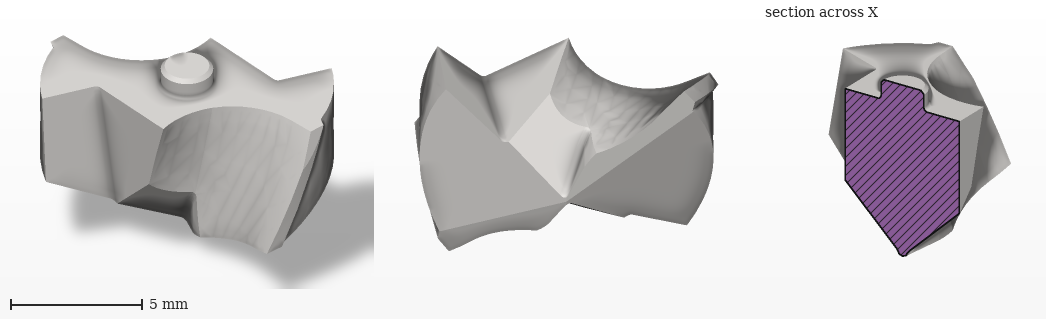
import cadquery as cq
import math

MARGIN_RADIUS = 5.85
LAND_RADIUS = 5.59
HELIX_ANGLE = 30.0
POINT_DEPTH = 6.35
BODY_DEPTH = 7.0

FLUTE_MOUTH = (2.08, -3.62)
FLUTE_HEEL = (1.49, -1.5)
FLUTE_SEAM = (1.82, -0.33)
FLUTE_BEND = (2.39, 0.435)
FLUTE_LIP = (4.5, 1.365)
LIP_ANGLE = 14.3
MARGIN_END_ANGLE = 20.8
LAND_START_ANGLE = 23.6
LAND_END_ANGLE = 85.0

FLAT_OFFSET = 2.64
TRAILING_CORNER_X = -2.15
TRAILING_SLOPE = (0.37, 1.0)
TRAILING_DRIFT = 0.185
TRAILING_FILLET = 0.2

BEVEL_X = 5.46
BEVEL_SLOPE = 0.27

PRIMARY_SLOPES = (-0.348, -0.035)
SECONDARY_SLOPES = (-0.352, -0.4)

GASH_SLOPES = (1.05, -0.945)
GASH_WALL_START = (0.0, -0.08)
GASH_WALL_BEND = (1.25, -0.82)
GASH_WALL_MIDDLE = (1.7, -0.98)
GASH_WALL_END = (2.6, -1.0)
GASH_FILLET = 0.26

PIN_RADIUS = 1.0
PIN_HEIGHT = 0.84
PIN_CHAMFER = 0.15
PIN_FILLET = 0.14

REACH = 20.0

TWIST_PER_MM = math.degrees(math.tan(math.radians(HELIX_ANGLE)) / MARGIN_RADIUS)


def polar(radius, degrees):
    """Point at a radius and an angle around the part axis."""
    angle = math.radians(degrees)
    return (radius * math.cos(angle), radius * math.sin(angle))


def opposite(shape):
    """The same shape on the other lobe, half a turn around Z."""
    return shape.rotate((0, 0, 0), (0, 0, 1), 180)


def cut_both_lobes(body, cutter):
    """Remove a cutter and its half-turn copy from the body."""
    return body.cut(cutter).cut(opposite(cutter))


def add_lobe(outline, side):
    """Flute, margin and land of one lobe; side is +1 for +X and -1 for -X."""
    def place(point):
        return (side * point[0], side * point[1])

    def outer_arc(radius, start, end):
        return place(polar(radius, (start + end) / 2)), place(polar(radius, end))

    return (
        outline.lineTo(*place(FLUTE_MOUTH))
        .threePointArc(place(FLUTE_HEEL), place(FLUTE_SEAM))
        .threePointArc(place(FLUTE_BEND), place(FLUTE_LIP))
        .tangentArcPoint(place(polar(MARGIN_RADIUS, LIP_ANGLE)), relative=False)
        .threePointArc(*outer_arc(MARGIN_RADIUS, LIP_ANGLE, MARGIN_END_ANGLE))
        .lineTo(*place(polar(LAND_RADIUS, LAND_START_ANGLE)))
        .threePointArc(*outer_arc(LAND_RADIUS, LAND_START_ANGLE, LAND_END_ANGLE))
    )


def twisted_body():
    """Two-lobed section swept down along the flute helix."""
    twist = TWIST_PER_MM * BODY_DEPTH
    start = polar(LAND_RADIUS, LAND_END_ANGLE + 180)
    outline = add_lobe(cq.Workplane("XY").moveTo(*start), 1)
    outline = add_lobe(outline, -1).close()
    body = outline.twistExtrude(BODY_DEPTH, twist)
    return body.rotate((0, 0, 0), (0, 0, 1), -twist).translate((0, 0, -BODY_DEPTH))


def below_plane(slopes, height):
    """Block under the plane z = height + slopes[0] * x + slopes[1] * y."""
    plane = cq.Plane(origin=(0, 0, height), normal=(slopes[0], slopes[1], -1))
    return cq.Workplane(plane).rect(2 * REACH, 2 * REACH).extrude(REACH)


def trailing_cutter():
    """Slanted prism that leaves the -Y flat and the trailing face of the -X lobe."""
    corner = (TRAILING_CORNER_X, -FLAT_OFFSET)
    far = (corner[0] - REACH * TRAILING_SLOPE[0], corner[1] - REACH * TRAILING_SLOPE[1])
    profile = cq.Workplane("XY").polyline([corner, (REACH, corner[1]), (REACH, far[1]), far]).close()
    direction = cq.Vector(TRAILING_DRIFT * BODY_DEPTH, 0, -BODY_DEPTH)
    prism = cq.Workplane(cq.Solid.extrudeLinear(profile.val(), [], direction))
    middle = (corner[0] + TRAILING_DRIFT * BODY_DEPTH / 2, corner[1], -BODY_DEPTH / 2)
    return prism.edges(cq.NearestToPointSelector(middle)).fillet(TRAILING_FILLET)


def bevel_cutter():
    """Block outside the bevel plane of the +X margin."""
    plane = cq.Plane(origin=(BEVEL_X, 0, 0), normal=(1, 0, BEVEL_SLOPE))
    return cq.Workplane(plane).rect(2 * REACH, 2 * REACH).extrude(REACH)


def gash_cutter():
    """Block under the gash floor, bounded by the upright gash wall."""
    wall = (
        cq.Workplane("XY").workplane(offset=-REACH)
        .moveTo(*GASH_WALL_START)
        .lineTo(*GASH_WALL_BEND)
        .threePointArc(GASH_WALL_MIDDLE, GASH_WALL_END)
        .lineTo(GASH_WALL_END[0], -REACH)
        .lineTo(-REACH, -REACH)
        .lineTo(-REACH, GASH_WALL_START[1])
        .close()
        .extrude(2 * REACH)
    )
    cutter = wall.intersect(below_plane(GASH_SLOPES, -POINT_DEPTH))

    def on_floor(x, y):
        return (x, y, -POINT_DEPTH + GASH_SLOPES[0] * x + GASH_SLOPES[1] * y)

    straight_x = (GASH_WALL_START[0] + GASH_WALL_BEND[0]) / 2
    straight_y = (GASH_WALL_START[1] + GASH_WALL_BEND[1]) / 2
    straight = on_floor(straight_x, straight_y)
    curved = on_floor(*GASH_WALL_MIDDLE)
    edges = cq.NearestToPointSelector(straight) + cq.NearestToPointSelector(curved)
    return cutter.edges(edges).fillet(GASH_FILLET)


def locating_pin():
    """Round pin on the seating face, chamfered on top and filleted at its foot."""
    foot = PIN_RADIUS + PIN_FILLET
    fillet_sag = PIN_FILLET * (1 - math.cos(math.radians(45)))
    return (
        cq.Workplane("XZ").lineTo(foot, 0)
        .threePointArc((PIN_RADIUS + fillet_sag, fillet_sag), (PIN_RADIUS, PIN_FILLET))
        .lineTo(PIN_RADIUS, PIN_HEIGHT - PIN_CHAMFER)
        .lineTo(PIN_RADIUS - PIN_CHAMFER, PIN_HEIGHT)
        .lineTo(0, PIN_HEIGHT)
        .close()
        .revolve(360, (0, 0, 0), (0, 1, 0))
    )


body = twisted_body()
body = cut_both_lobes(body, trailing_cutter())
body = cut_both_lobes(body, bevel_cutter())
body = cut_both_lobes(body, below_plane(PRIMARY_SLOPES, -POINT_DEPTH))
body = cut_both_lobes(body, below_plane(SECONDARY_SLOPES, -POINT_DEPTH))
body = cut_both_lobes(body, gash_cutter())
result = body.union(locating_pin())